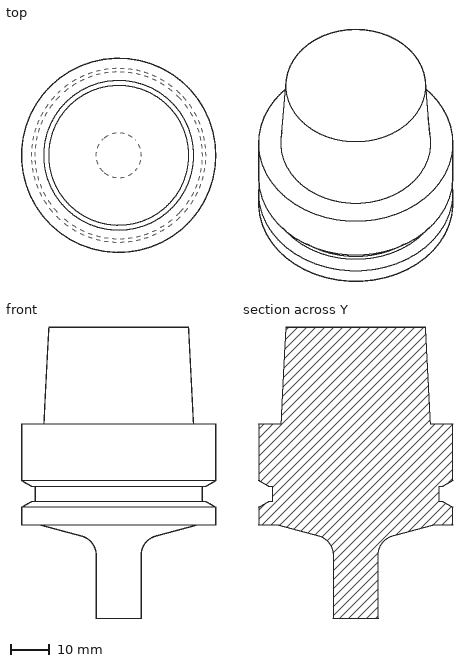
import cadquery as cq
import math

total_height = 74.9
flange_radius = 49.95 / 2

shank_radius = 11.6 / 2
shank_top_z = 16.3
fillet_radius = 5.0
cone_angle = math.radians(15)

flange_bottom_z = 24.05
groove_radius = 43.0 / 2
groove_bottom_z = 30.1
groove_top_z = 33.9
chamfer_angle = math.radians(30)
chamfer_height = 1.5
body_top_z = 50.0

taper_bottom_radius = 19.25
taper_top_radius = 18.0

fillet_center_x = shank_radius + fillet_radius
fillet_end_angle = math.pi / 2 - cone_angle


def fillet_point(angle):
    """Point on the fillet, at an angle turned up from the shank."""
    return (
        fillet_center_x - fillet_radius * math.cos(angle),
        shank_top_z + fillet_radius * math.sin(angle),
    )


cone_bottom_radius, cone_bottom_z = fillet_point(fillet_end_angle)
cone_top_radius = cone_bottom_radius + (flange_bottom_z - cone_bottom_z) / math.tan(cone_angle)
chamfer_edge_radius = flange_radius - chamfer_height / math.tan(chamfer_angle)

profile = (
    cq.Workplane("XZ")
    .lineTo(shank_radius, 0)
    .lineTo(shank_radius, shank_top_z)
    .threePointArc(fillet_point(fillet_end_angle / 2), (cone_bottom_radius, cone_bottom_z))
    .lineTo(cone_top_radius, flange_bottom_z)
    .lineTo(flange_radius, flange_bottom_z)
    .lineTo(flange_radius, groove_bottom_z - chamfer_height)
    .lineTo(chamfer_edge_radius, groove_bottom_z)
    .lineTo(groove_radius, groove_bottom_z)
    .lineTo(groove_radius, groove_top_z)
    .lineTo(chamfer_edge_radius, groove_top_z)
    .lineTo(flange_radius, groove_top_z + chamfer_height)
    .lineTo(flange_radius, body_top_z)
    .lineTo(taper_bottom_radius, body_top_z)
    .lineTo(taper_top_radius, total_height)
    .lineTo(0, total_height)
    .close()
)
result = profile.revolve(360, (0, 0, 0), (0, 1, 0))